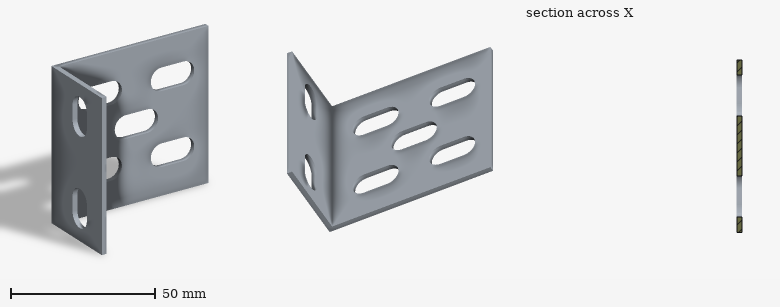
import cadquery as cq

thickness = 2.0
height = 60.0
short_leg = 32.0
long_leg = 64.0

slot_width = 9.0

short_slot_length = 15.0
short_slot_x = 18.0
short_slot_end_margin = 12.5

long_slot_length = 18.0
pattern_center_y = 34.0
pattern_offset_y = 15.0
pattern_offset_z = 14.5

mid_z = height / 2


def make_angle():
    """L-shaped section extruded to the full height."""
    return (
        cq.Workplane("XY")
        .polyline([
            (0, 0),
            (short_leg, 0),
            (short_leg, thickness),
            (thickness, thickness),
            (thickness, long_leg),
            (0, long_leg),
        ])
        .close()
        .extrude(height)
    )


def short_leg_slots():
    """Cutters for the two upright slots through the short leg."""
    centers = [
        (short_slot_x, short_slot_end_margin),
        (short_slot_x, height - short_slot_end_margin),
    ]
    return (
        cq.Workplane("XZ")
        .pushPoints(centers)
        .slot2D(short_slot_length, slot_width, 90)
        .extrude(-thickness)
    )


def long_leg_slots():
    """Cutters for the five horizontal slots through the long leg."""
    centers = [(pattern_center_y, mid_z)]
    for side_y in (-1, 1):
        for side_z in (-1, 1):
            y = pattern_center_y + side_y * pattern_offset_y
            z = mid_z + side_z * pattern_offset_z
            centers.append((y, z))
    return (
        cq.Workplane("YZ")
        .pushPoints(centers)
        .slot2D(long_slot_length, slot_width)
        .extrude(thickness)
    )


result = make_angle().cut(short_leg_slots()).cut(long_leg_slots())